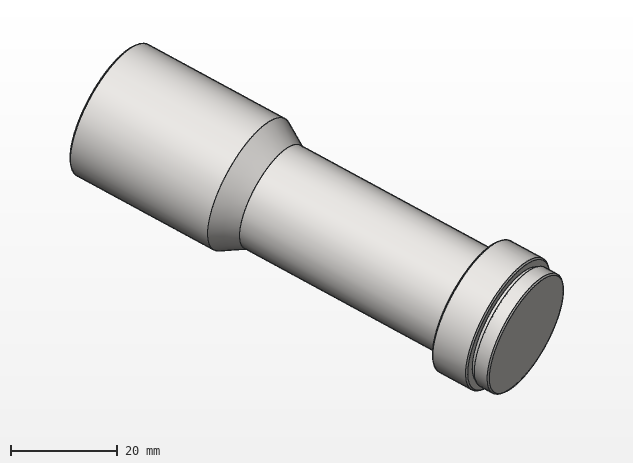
import cadquery as cq
import math

body_diameter = 28.0
neck_diameter = 22.0
flange_diameter = 28.0
groove_diameter = 24.4
collar_diameter = 25.4

overall_length = 93.9
taper_end = 36.5
flange_width = 8.0
groove_width = 0.8
end_length = 4.0

taper_angle = 30.0
edge_chamfer = 0.3

body_radius = body_diameter / 2
neck_radius = neck_diameter / 2
flange_radius = flange_diameter / 2
groove_radius = groove_diameter / 2
collar_radius = collar_diameter / 2

taper_length = (body_radius - neck_radius) / math.tan(math.radians(taper_angle))
taper_start = taper_end - taper_length
flange_end = overall_length - end_length
flange_start = flange_end - flange_width
collar_start = flange_end + groove_width


def turned_profile():
    """Half section of the part, bounded below by the X axis."""
    return (
        cq.Workplane("XZ")
        .moveTo(0, 0)
        .lineTo(0, body_radius - edge_chamfer)
        .lineTo(edge_chamfer, body_radius)
        .lineTo(taper_start, body_radius)
        .lineTo(taper_end, neck_radius)
        .lineTo(flange_start, neck_radius)
        .lineTo(flange_start, flange_radius - edge_chamfer)
        .lineTo(flange_start + edge_chamfer, flange_radius)
        .lineTo(flange_end - edge_chamfer, flange_radius)
        .lineTo(flange_end, flange_radius - edge_chamfer)
        .lineTo(flange_end, groove_radius)
        .lineTo(collar_start, groove_radius)
        .lineTo(collar_start, collar_radius)
        .lineTo(overall_length - edge_chamfer, collar_radius)
        .lineTo(overall_length, collar_radius - edge_chamfer)
        .lineTo(overall_length, 0)
        .close()
    )


result = turned_profile().revolve(360, (0, 0, 0), (1, 0, 0))